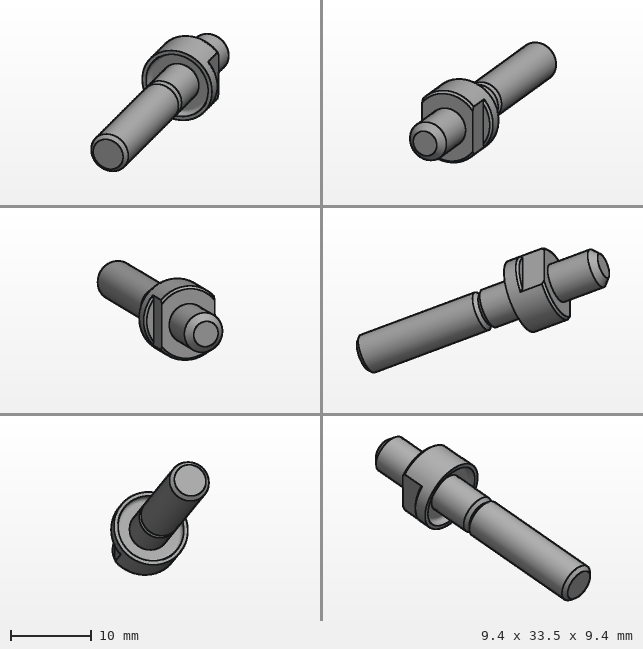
import cadquery as cq

PIN_LENGTH = 33.5
PIN_RADIUS = 2.5
HEAD_CHAMFER = 0.9
SHANK_CHAMFER = 0.5

COLLAR_DIAMETER = 9.4
COLLAR_RADIUS = COLLAR_DIAMETER / 2
COLLAR_LENGTH = 5.0
HEAD_LENGTH = 6.5
COLLAR_EDGE_CHAMFER = 0.3

FLAT_LENGTH = 3.0
FLAT_HALF_WIDTH = 3.5

RECESS_RADIUS = 4.2
RECESS_DEPTH = 1.0
RECESS_FLOOR_ROUND = 0.5

GROOVE_DEPTH = 0.5
GROOVE_FROM_COLLAR = 5.02

HEAD_END = PIN_LENGTH / 2
SHANK_END = -PIN_LENGTH / 2
COLLAR_BACK = HEAD_END - HEAD_LENGTH
COLLAR_FRONT = COLLAR_BACK - COLLAR_LENGTH
FLAT_END = COLLAR_BACK - FLAT_LENGTH
GROOVE_Y = COLLAR_FRONT - GROOVE_FROM_COLLAR


def revolve_about_y(outline):
    """Turn a closed XY outline a full revolution about the Y axis."""
    return outline.close().revolve(360, (0, 0, 0), (0, 1, 0))


def make_pin():
    """Round pin with a V groove and chamfered ends."""
    outline = (
        cq.Workplane("XY")
        .moveTo(0, SHANK_END)
        .lineTo(PIN_RADIUS - SHANK_CHAMFER, SHANK_END)
        .lineTo(PIN_RADIUS, SHANK_END + SHANK_CHAMFER)
        .lineTo(PIN_RADIUS, GROOVE_Y - GROOVE_DEPTH)
        .lineTo(PIN_RADIUS - GROOVE_DEPTH, GROOVE_Y)
        .lineTo(PIN_RADIUS, GROOVE_Y + GROOVE_DEPTH)
        .lineTo(PIN_RADIUS, HEAD_END - HEAD_CHAMFER)
        .lineTo(PIN_RADIUS - HEAD_CHAMFER, HEAD_END)
        .lineTo(0, HEAD_END)
    )
    return revolve_about_y(outline)


def make_chamfered_disc(back_y):
    """Disc from the collar front to back_y, with its back rim chamfered."""
    outline = (
        cq.Workplane("XY")
        .moveTo(0, COLLAR_FRONT)
        .lineTo(COLLAR_RADIUS, COLLAR_FRONT)
        .lineTo(COLLAR_RADIUS, back_y - COLLAR_EDGE_CHAMFER)
        .lineTo(COLLAR_RADIUS - COLLAR_EDGE_CHAMFER, back_y)
        .lineTo(0, back_y)
    )
    return revolve_about_y(outline)


def make_recess():
    """Solid filling the round recess in the collar front, with its floor corner rounded."""
    floor_y = COLLAR_FRONT + RECESS_DEPTH
    outline = (
        cq.Workplane("XY")
        .moveTo(0, COLLAR_FRONT)
        .lineTo(RECESS_RADIUS, COLLAR_FRONT)
        .lineTo(RECESS_RADIUS, floor_y - RECESS_FLOOR_ROUND)
        .radiusArc((RECESS_RADIUS - RECESS_FLOOR_ROUND, floor_y), -RECESS_FLOOR_ROUND)
        .lineTo(0, floor_y)
    )
    return revolve_about_y(outline)


def make_collar():
    """Collar with two flats behind a round flange, bored to fit the pin."""
    flats = cq.Workplane("XY").box(
        2 * FLAT_HALF_WIDTH, COLLAR_LENGTH, 2 * COLLAR_RADIUS
    ).translate((0, (COLLAR_FRONT + COLLAR_BACK) / 2, 0))
    flatted_body = make_chamfered_disc(COLLAR_BACK).intersect(flats)
    flange = make_chamfered_disc(FLAT_END)
    bore = cq.Workplane("XZ", origin=(0, COLLAR_BACK, 0)).circle(PIN_RADIUS).extrude(COLLAR_LENGTH)
    return flatted_body.union(flange).cut(make_recess()).cut(bore)


pin = make_pin()
collar = make_collar()
result = cq.Compound.makeCompound([pin.val(), *collar.solids().vals()])